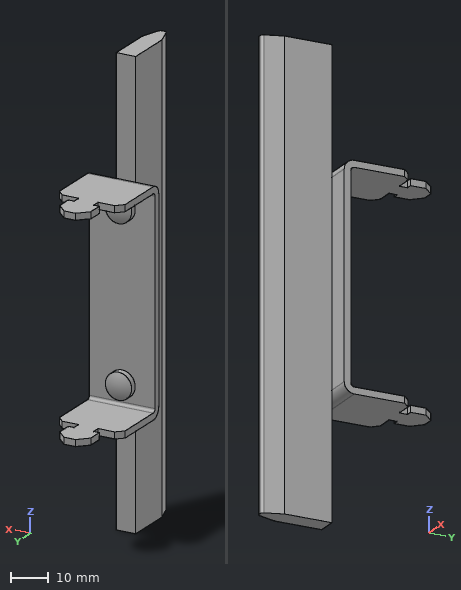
import cadquery as cq

blade_height = 135.0
blade_depth = 20.0
blade_width = 6.0
blade_straight_depth = 14.0
tip_width = 2.0
tip_radius = 1.0

bracket_width = 20.0
bracket_height = 66.0
bracket_depth = 30.0
sheet_thickness = 2.0
bend_inner_radius = 1.0
bend_outer_radius = bend_inner_radius + sheet_thickness

hook_width = 9.5
hook_chamfer = 3.0
hook_length = 7.5
neck_width = 6.0
shoulder_setback = 10.0
shoulder_chamfer = 2.0

rivet_spacing = 50.0
rivet_diameter = 8.0
rivet_rim_height = 1.9
rivet_height = 3.0


def make_blade():
    """Bar with its back face on Y = 0, centred on X and Z."""
    half_width = blade_width / 2
    half_tip = tip_width / 2
    bar = (
        cq.Workplane("XY")
        .polyline([
            (-half_width, 0),
            (-half_width, -blade_straight_depth),
            (-half_tip, -blade_depth),
            (half_tip, -blade_depth),
            (half_width, -blade_straight_depth),
            (half_width, 0),
        ])
        .close()
        .extrude(blade_height / 2, both=True)
    )
    return bar.faces("<Y").edges("|Z").fillet(tip_radius)


def make_bent_strip():
    """Full-width U-shaped strip whose web rests on Y = 0."""
    outside = (
        cq.Workplane("XY")
        .box(bracket_width, bracket_depth, bracket_height, centered=(True, False, True))
        .faces("<Y").edges("|X").fillet(bend_outer_radius)
    )
    inside = (
        cq.Workplane("XY")
        .workplane(origin=(0, sheet_thickness, 0))
        .box(
            bracket_width,
            bracket_depth,
            bracket_height - 2 * sheet_thickness,
            centered=(True, False, True),
        )
        .faces("<Y").edges("|X").fillet(bend_inner_radius)
    )
    return outside.cut(inside)


def make_leg_outline():
    """Plan shape shared by both legs, extruded over the bracket height."""
    end = bracket_depth
    shoulder = end - shoulder_setback
    right_side = [
        (bracket_width / 2, 0),
        (bracket_width / 2, shoulder - shoulder_chamfer),
        (bracket_width / 2 - shoulder_chamfer, shoulder),
        (neck_width / 2, shoulder),
        (neck_width / 2, end - hook_length),
        (hook_width / 2, end - hook_length),
        (hook_width / 2, end - hook_chamfer),
        (hook_width / 2 - hook_chamfer, end),
    ]
    left_side = [(-x, y) for x, y in reversed(right_side)]
    return (
        cq.Workplane("XY")
        .polyline(right_side + left_side)
        .close()
        .extrude(bracket_height / 2, both=True)
    )


def make_rivet_head(height_position):
    """Round head with a domed crown, standing on the inner face of the web."""
    crown_rise = rivet_height - rivet_rim_height
    crown_radius = ((rivet_diameter / 2) ** 2 + crown_rise**2) / (2 * crown_rise)
    return (
        cq.Workplane("XY")
        .polyline([(0, 0), (rivet_diameter / 2, 0), (rivet_diameter / 2, rivet_rim_height)])
        .radiusArc((0, rivet_height), -crown_radius)
        .close()
        .revolve(360, (0, 0, 0), (0, 1, 0))
        .translate((0, sheet_thickness, height_position))
    )


bracket = make_bent_strip().intersect(make_leg_outline())
result = make_blade().union(bracket)
for side in (-1, 1):
    result = result.union(make_rivet_head(side * rivet_spacing / 2))